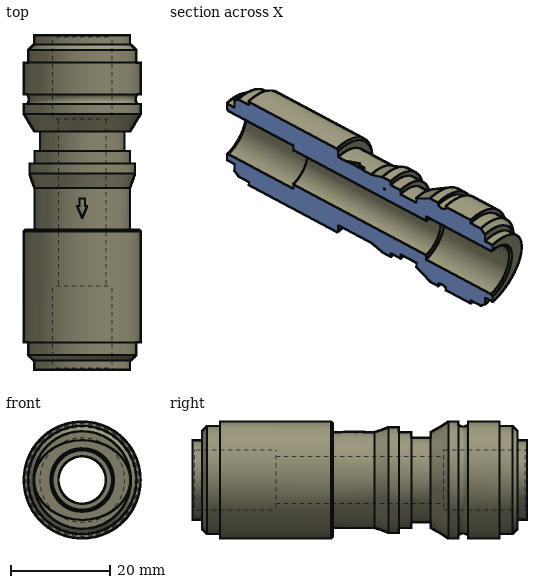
import cadquery as cq

length = 67.5
half_length = length / 2

sleeve_diameter = 23.6
shoulder_diameter = 21.9
shoulder_face_diameter = 19.7
flange_diameter = 21.4
barrel_diameter = 19.4
neck_diameter = 17.1

lip_length = 1.9
shoulder_chamfer_length = 1.1
shoulder_length = 2.55
lip_base = half_length - lip_length
chamfer_base = lip_base - shoulder_chamfer_length
sleeve_end = chamfer_base - shoulder_length

groove_start = 21.8
groove_end = 19.9
ring_cone_start = 17.9
ring_cone_end = 14.3
neck_end = 10.4
flange_start = 7.9
flange_cone_start = 5.8
flange_cone_end = 3.0
long_sleeve_start = -5.4
long_sleeve_chamfer = 0.4

groove_edge_diameter = 22.3
groove_floor_diameter = 21.6

lip_width = barrel_diameter
lip_height = 16.05

through_diameter = 9.5
socket_diameter = 12.0
socket_depth = 16.9
socket_mouth_chamfer = 0.4

arrow_tail = 0.8
arrow_head_base = -0.75
arrow_tip = -3.1
arrow_shaft_half_width = 0.55
arrow_head_half_width = 1.0
arrow_raise = 0.15


def make_body():
    """Revolve the stepped outer profile (radius along X) about the Y axis."""
    sleeve = sleeve_diameter / 2
    shoulder = shoulder_diameter / 2
    shoulder_face = shoulder_face_diameter / 2
    flange = flange_diameter / 2
    barrel = barrel_diameter / 2
    neck = neck_diameter / 2
    groove_edge = groove_edge_diameter / 2
    groove_middle = (groove_start + groove_end) / 2
    profile = (
        cq.Workplane("XY")
        .moveTo(0, lip_base)
        .lineTo(shoulder_face, lip_base)
        .lineTo(shoulder, chamfer_base)
        .lineTo(shoulder, sleeve_end)
        .lineTo(sleeve, sleeve_end)
        .lineTo(sleeve, groove_start)
        .lineTo(groove_edge, groove_start)
        .threePointArc((groove_floor_diameter / 2, groove_middle), (groove_edge, groove_end))
        .lineTo(sleeve, groove_end)
        .lineTo(sleeve, ring_cone_start)
        .lineTo(barrel, ring_cone_end)
        .lineTo(neck, ring_cone_end)
        .lineTo(neck, neck_end)
        .lineTo(barrel, neck_end)
        .lineTo(barrel, flange_start)
        .lineTo(flange, flange_start)
        .lineTo(flange, flange_cone_start)
        .lineTo(barrel, flange_cone_end)
        .lineTo(barrel, long_sleeve_start)
        .lineTo(sleeve - long_sleeve_chamfer, long_sleeve_start)
        .lineTo(sleeve, long_sleeve_start - long_sleeve_chamfer)
        .lineTo(sleeve, -sleeve_end)
        .lineTo(shoulder, -sleeve_end)
        .lineTo(shoulder, -chamfer_base)
        .lineTo(shoulder_face, -lip_base)
        .lineTo(0, -lip_base)
        .close()
    )
    return profile.revolve(360, (0, 0, 0), (0, 1, 0))


def make_lips():
    """Elliptical lip at each end, standing out from the shoulder face."""
    lip = (
        cq.Workplane("XZ", origin=(0, -lip_base, 0))
        .ellipse(lip_width / 2, lip_height / 2)
        .extrude(lip_length)
    )
    return lip.union(lip.mirror("XZ"))


def make_bore():
    """Through bore with a wider, chamfered socket at each end."""
    through = through_diameter / 2
    socket = socket_diameter / 2
    mouth = socket + socket_mouth_chamfer
    socket_bottom = half_length - socket_depth
    chamfer_bottom = half_length - socket_mouth_chamfer
    profile = (
        cq.Workplane("XY")
        .moveTo(0, half_length)
        .lineTo(mouth, half_length)
        .lineTo(socket, chamfer_bottom)
        .lineTo(socket, socket_bottom)
        .lineTo(through, socket_bottom)
        .lineTo(through, -socket_bottom)
        .lineTo(socket, -socket_bottom)
        .lineTo(socket, -chamfer_bottom)
        .lineTo(mouth, -half_length)
        .lineTo(0, -half_length)
        .close()
    )
    return profile.revolve(360, (0, 0, 0), (0, 1, 0))


def make_arrow():
    """Arrow rising from inside the neck radius to just above the barrel."""
    base = neck_diameter / 2
    top = barrel_diameter / 2 + arrow_raise
    return (
        cq.Workplane("XY")
        .workplane(offset=base)
        .moveTo(-arrow_shaft_half_width, arrow_tail)
        .lineTo(arrow_shaft_half_width, arrow_tail)
        .lineTo(arrow_shaft_half_width, arrow_head_base)
        .lineTo(arrow_head_half_width, arrow_head_base)
        .lineTo(0, arrow_tip)
        .lineTo(-arrow_head_half_width, arrow_head_base)
        .lineTo(-arrow_shaft_half_width, arrow_head_base)
        .close()
        .extrude(top - base)
    )


result = make_body().union(make_lips()).union(make_arrow()).cut(make_bore())